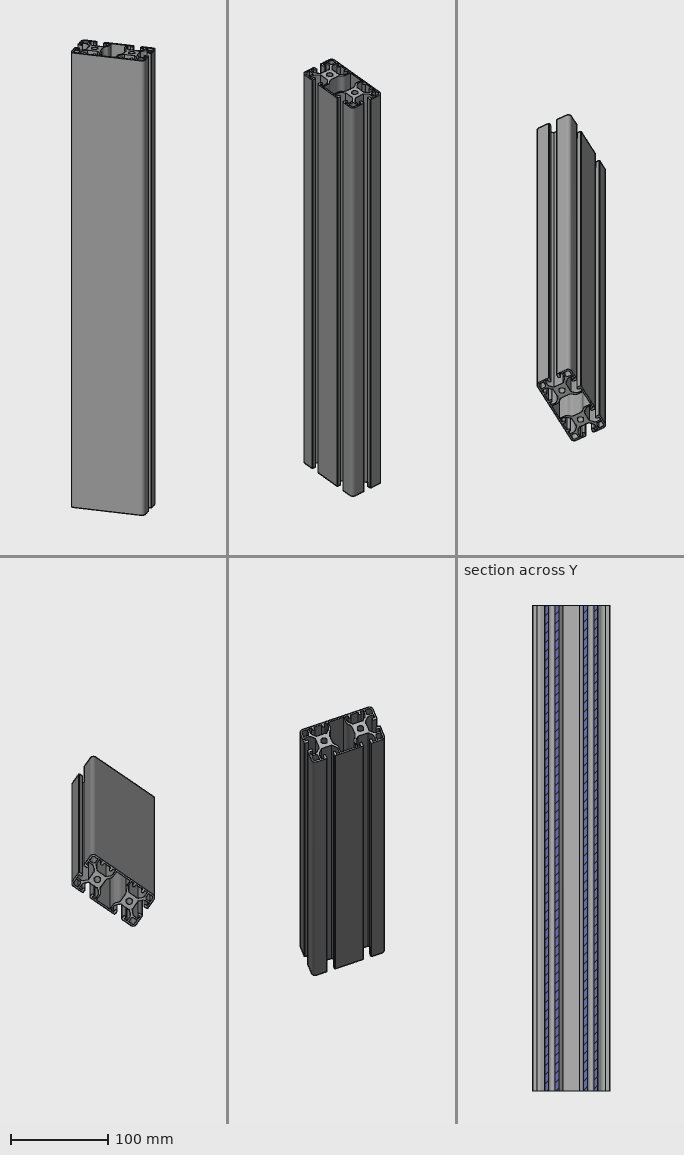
import math

import cadquery as cq

module = 40.0
width = 2 * module
depth = module
length = 500.0
corner_radius = 4.0

face_thickness = 1.8

slot_opening = 8.2
slot_inner_width = 20.0
slot_depth = 12.5
lip_depth = 5.0
lip_width = 2.7
lip_edge_size = 0.7
lip_tip_radius = 1.2
slot_flank_radius = 4.0

slot_web_half = 1.4
chamber_web_half = 1.0
core_bore_diameter = 6.5

corner_wall = 2.0
pocket_inner_wall = 1.8
pocket_corner_radius = corner_radius - corner_wall

chamber_width = 17.0
chamber_shoulder_radius = 4.0
chamber_waist_radius = 6.0

core_half = module / 2 - slot_depth
slot_half = slot_inner_width / 2
slot_roof = module / 2 - face_thickness
core_centres = (-module / 2, module / 2)
cut_margin = 1.0
position_tolerance = 1e-3


def prism(points):
    return cq.Workplane("XY").polyline(points).close().extrude(length)


def turned(body, angle):
    return body.rotate((0, 0, 0), (0, 0, 1), angle)


def fillet_mirrored_edges(body, x, y, radius):
    """Round the lengthwise edges at (x, y) and at its mirror images that belong to the body."""

    def is_wanted(edge):
        centre = edge.Center()
        x_error = abs(abs(centre.x) - abs(x))
        y_error = abs(abs(centre.y) - abs(y))
        return max(x_error, y_error) < position_tolerance

    edges = [edge for edge in body.edges("|Z").vals() if is_wanted(edge)]
    return body.newObject(edges).fillet(radius)


def slot(mouth_height):
    """T-slot of a module centred on the origin, opening toward +Y up to mouth_height."""
    opening = slot_opening / 2
    hook = opening + lip_width
    lip_tip = module / 2 - lip_depth
    web_offset = slot_web_half * math.sqrt(2)
    flank_start = slot_half + web_offset
    right_side = [
        (opening, mouth_height),
        (opening, lip_tip),
        (hook, lip_tip),
        (hook, slot_roof),
        (slot_half, slot_roof),
        (slot_half, flank_start),
        (core_half - web_offset, core_half),
    ]
    left_side = [(-x, y) for x, y in reversed(right_side)]
    body = prism(right_side + left_side)
    body = fillet_mirrored_edges(body, slot_half, flank_start, slot_flank_radius)
    for x in (opening, hook):
        body = fillet_mirrored_edges(body, x, lip_tip, lip_tip_radius)
    return body


def lip_edge_bevel():
    """Wedge that bevels the two outer lip edges of the slot opening toward +Y."""
    face = module / 2
    inner = slot_opening / 2
    outer = inner + lip_edge_size
    bottom = face - lip_edge_size
    return prism([(inner, bottom), (outer, face), (-outer, face), (-inner, bottom)])


def corner_pocket():
    """Hollow in the +X +Y corner of a module centred on the origin."""
    outer = module / 2 - corner_wall
    inner = slot_half + pocket_inner_wall
    size = outer - inner
    middle = (outer + inner) / 2
    pocket = cq.Workplane("XY").rect(size, size).extrude(length)
    for corner in ("|Z and <X and <Y", "|Z and >X and >Y"):
        pocket = pocket.edges(corner).fillet(pocket_corner_radius)
    return pocket.translate((middle, middle, 0))


def core_bore():
    return cq.Workplane("XY").circle(core_bore_diameter / 2).extrude(length)


def chamber():
    """Central chamber bounded by the two faces, the diagonal webs and the two cores."""
    wall = chamber_width / 2
    waist = module / 2 - core_half
    roof = depth / 2 - face_thickness
    web_line = module / 2 - chamber_web_half * math.sqrt(2)
    shoulder_height = web_line - wall
    waist_height = web_line - waist
    upper_right = [(waist, waist_height), (wall, shoulder_height), (wall, roof)]
    upper_left = [(-x, y) for x, y in reversed(upper_right)]
    lower = [(-x, -y) for x, y in upper_right + upper_left]
    body = prism(upper_right + upper_left + lower)
    body = fillet_mirrored_edges(body, wall, shoulder_height, chamber_shoulder_radius)
    return fillet_mirrored_edges(body, waist, waist_height, chamber_waist_radius)


def module_cavities(side):
    """All cavities of one module centred on the origin; side is -1 or +1, its outer end along X."""
    open_slot = slot(module / 2 + cut_margin).union(lip_edge_bevel())
    closed_slot = turned(slot(slot_roof), 180)
    end_slot = turned(open_slot, -90 * side)
    upper_pocket = corner_pocket()
    if side < 0:
        upper_pocket = upper_pocket.mirror("YZ")
    lower_pocket = upper_pocket.mirror("XZ")
    return [open_slot, closed_slot, end_slot, upper_pocket, lower_pocket, core_bore()]


result = cq.Workplane("XY").rect(width, depth).extrude(length).edges("|Z").fillet(corner_radius)
result = result.cut(chamber())
for side, centre in zip((-1, 1), core_centres):
    for cavity in module_cavities(side):
        result = result.cut(cavity.translate((centre, 0, 0)))